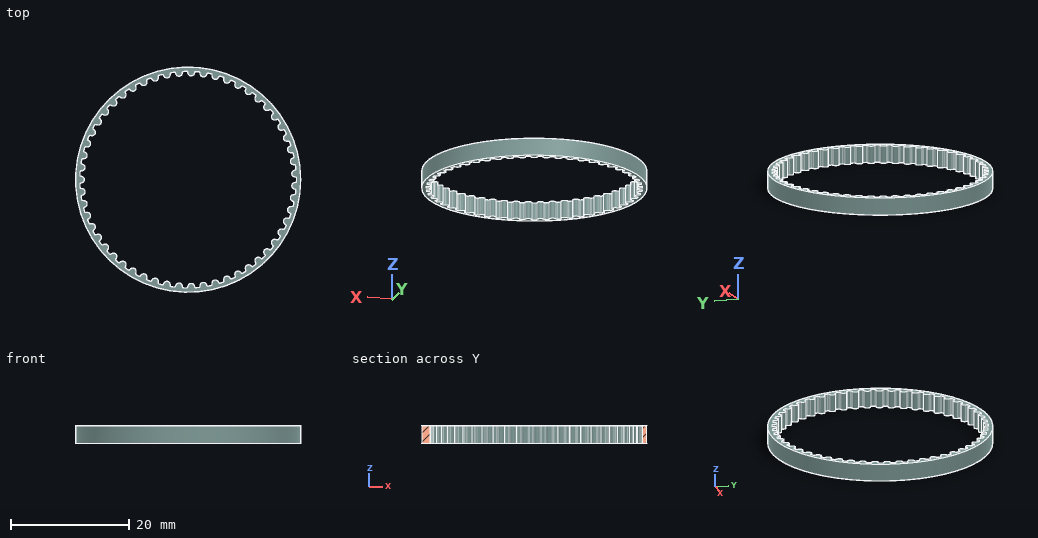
import cadquery as cq
import math


outer_diameter = 38.07
belt_width = 3.0
tooth_count = 55
band_thickness = 0.75
tooth_height = 0.75
tip_radius = 0.57
flank_radius = 1.0
flank_center_offset = 0.38
root_fillet_radius = 0.15
first_tooth_angle = math.pi

outer_radius = outer_diameter / 2
root_radius = outer_radius - band_thickness
tooth_tip_radius = root_radius - tooth_height
pitch_angle = 2 * math.pi / tooth_count


def point_toward(start, target, distance):
    """Point at the given distance from start, in the direction of target."""
    ratio = distance / math.dist(start, target)
    return (
        start[0] + ratio * (target[0] - start[0]),
        start[1] + ratio * (target[1] - start[1]),
    )


def arc_middle(center, start, end):
    """Middle of the short arc that runs from start to end around center."""
    chord_middle = ((start[0] + end[0]) / 2, (start[1] + end[1]) / 2)
    return point_toward(center, chord_middle, math.dist(center, start))


def half_tooth_points():
    """Root, flank and tip arc points on the +Y half of a tooth that is centred on the +X axis.

    The tip arc touches the flank arc from inside. The fillet touches the flank arc
    from outside and the root circle from inside.
    """
    axis = (0, 0)
    tip_center = (tooth_tip_radius + tip_radius, 0)
    center_rise = math.sqrt((flank_radius - tip_radius) ** 2 - flank_center_offset ** 2)
    flank_center = (tip_center[0] + center_rise, -flank_center_offset)

    axis_to_fillet = root_radius - root_fillet_radius
    flank_to_fillet = flank_radius + root_fillet_radius
    axis_to_flank = math.dist(axis, flank_center)
    angle_at_axis = math.acos(
        (axis_to_fillet ** 2 + axis_to_flank ** 2 - flank_to_fillet ** 2)
        / (2 * axis_to_fillet * axis_to_flank)
    )
    fillet_angle = math.atan2(flank_center[1], flank_center[0]) + angle_at_axis
    fillet_center = (
        axis_to_fillet * math.cos(fillet_angle),
        axis_to_fillet * math.sin(fillet_angle),
    )

    root_end = point_toward(axis, fillet_center, root_radius)
    flank_start = point_toward(flank_center, fillet_center, flank_radius)
    flank_end = point_toward(flank_center, tip_center, flank_radius)
    fillet_middle = arc_middle(fillet_center, root_end, flank_start)
    flank_middle = arc_middle(flank_center, flank_start, flank_end)
    return [root_end, fillet_middle, flank_start, flank_middle, flank_end]


def mirrored(point):
    return (point[0], -point[1])


def rotated(point, angle):
    """Point turned about the belt axis."""
    return (
        point[0] * math.cos(angle) - point[1] * math.sin(angle),
        point[0] * math.sin(angle) + point[1] * math.cos(angle),
    )


def toothed_opening():
    """Inside of the belt as a solid: tooth by tooth, counterclockwise."""
    upper_half = half_tooth_points()
    lower_half = [mirrored(point) for point in upper_half]
    tip = (tooth_tip_radius, 0)
    root_middle = rotated((root_radius, 0), pitch_angle / 2)
    next_tooth_start = rotated(lower_half[0], pitch_angle)
    arcs = [
        (lower_half[1], lower_half[2]),
        (lower_half[3], lower_half[4]),
        (tip, upper_half[4]),
        (upper_half[3], upper_half[2]),
        (upper_half[1], upper_half[0]),
        (root_middle, next_tooth_start),
    ]

    outline = cq.Workplane("XY").moveTo(*rotated(lower_half[0], first_tooth_angle))
    for tooth in range(tooth_count):
        angle = first_tooth_angle + tooth * pitch_angle
        for middle, end in arcs:
            outline = outline.threePointArc(rotated(middle, angle), rotated(end, angle))
    return outline.close().extrude(belt_width)


blank = cq.Workplane("XY").circle(outer_radius).extrude(belt_width)
result = blank.cut(toothed_opening())